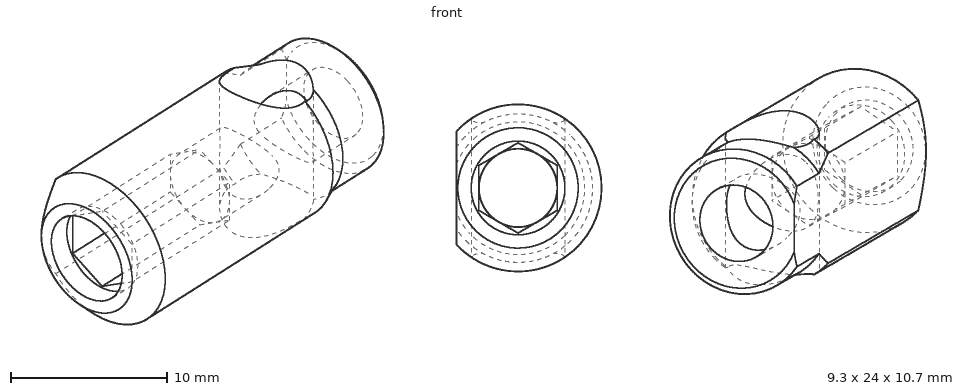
import cadquery as cq
import math

length = 24.0
body_radius = 5.35
front_chamfer = 1.5

neck_radius = 4.75
neck_length = 4.5
cone_length = 1.65
rear_chamfer = 0.5

flat_distance = 3.95

cross_hole_diameter = 6.0
cross_hole_from_rear = 6.5

entry_diameter = 6.0
entry_depth = 1.5
hex_across_flats = 5.0
hex_depth = 11.0
bore_diameter = 5.0


def turned_body():
    """Solid of revolution about the Y axis."""
    neck_start = length - neck_length
    cone_start = neck_start - cone_length
    profile = [
        (0, 0),
        (body_radius - front_chamfer, 0),
        (body_radius, front_chamfer),
        (body_radius, cone_start),
        (neck_radius, neck_start),
        (neck_radius, length - rear_chamfer),
        (neck_radius - rear_chamfer, length),
        (0, length),
    ]
    return cq.Workplane("XY").polyline(profile).close().revolve(360, (0, 0, 0), (0, 1, 0))


def flat_cutter():
    """Block that removes everything beyond the side flat."""
    width = 2 * body_radius
    return cq.Workplane("XY").box(width, length, width, centered=(True, False, True)).translate(
        (-flat_distance - width / 2, 0, 0)
    )


def cross_hole():
    """Round hole through the body along Z."""
    return (
        cq.Workplane("XY")
        .center(0, length - cross_hole_from_rear)
        .circle(cross_hole_diameter / 2)
        .extrude(body_radius, both=True)
    )


def axial_cylinder(diameter, depth):
    """Cylinder on the main axis, running from the front end towards +Y."""
    return cq.Workplane("XZ").circle(diameter / 2).extrude(-depth)


def hex_socket():
    """Hexagon on the main axis, with two flats facing +X and -X."""
    corner_diameter = hex_across_flats / math.cos(math.pi / 6)
    return (
        cq.Workplane("XZ")
        .transformed(rotate=(0, 0, 90))
        .polygon(6, corner_diameter)
        .extrude(-hex_depth)
    )


result = (
    turned_body()
    .cut(flat_cutter())
    .cut(cross_hole())
    .cut(axial_cylinder(entry_diameter, entry_depth))
    .cut(hex_socket())
    .cut(axial_cylinder(bore_diameter, length))
)